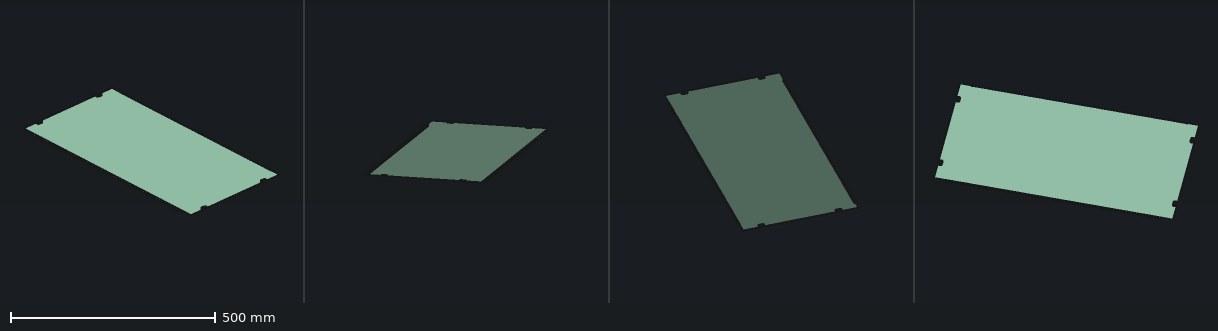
import cadquery as cq

length = 600.0
width = 299.0
height = 6.5
thickness = 1.0

flange_inset = 30.0
flange_length = length - 2 * flange_inset
flange_center_y = (width - thickness) / 2

slot_width = 7.0
slot_length = 15.0
slot_edge_distance = 6.5
slot_spacing_x = length - 2 * slot_edge_distance
slot_spacing_y = 200.0


def make_plate(size_x, size_y, depth):
    """Rectangular block centred on the Z axis that hangs down from Z = 0."""
    return cq.Workplane("XY").rect(size_x, size_y).extrude(-depth)


def make_slots():
    """Four through slots with round ends, near the short edges."""
    return (
        cq.Workplane("XY")
        .rarray(slot_spacing_x, slot_spacing_y, 2, 2)
        .slot2D(slot_length, slot_width, 90)
        .extrude(-thickness)
    )


result = make_plate(length, width, thickness)
for side in (-1, 1):
    flange = make_plate(flange_length, thickness, height)
    result = result.union(flange.translate((0, side * flange_center_y, 0)))
result = result.cut(make_slots())